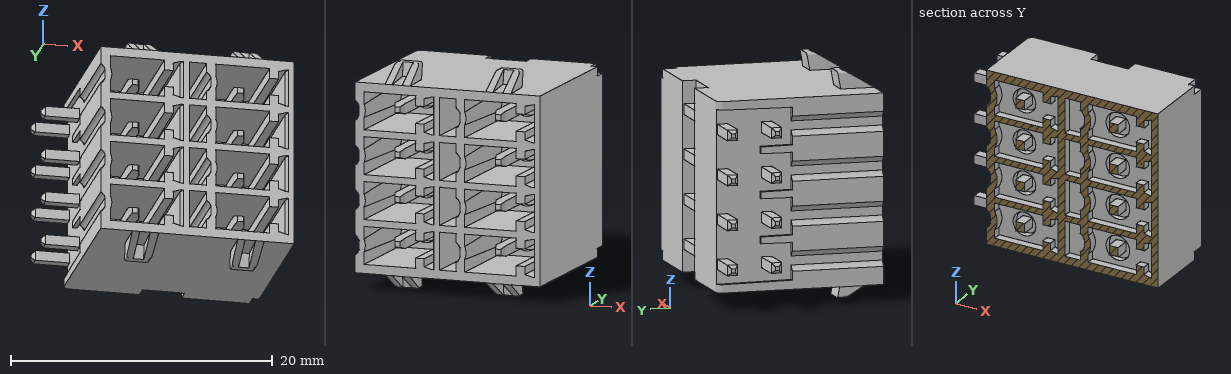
import cadquery as cq


body_width = 15.17
body_depth = 13.3
row_count = 4
row_pitch = 3.5
column_count = 2
column_pitch = 8.25
body_height = 14.9
height_over_latches = 17.6
cavity_height = 2.96
end_wall = (body_height - (row_count - 1) * row_pitch - cavity_height) / 2
row_heights = [(row - (row_count - 1) / 2) * row_pitch for row in range(row_count)]
column_starts = [column * column_pitch for column in range(column_count)]
overlap = 1.0

cavity_depth = 7.3
cavity_left = 0.76
rib_left = 4.98
rib_right = 5.69
tail_slope_end = 6.30
cavity_right = 6.47
lead_in_depth = 0.5
rib_gap_half = 0.68
tail_start_half = 1.3
cavity_half = cavity_height / 2

swelling_chord_half = 0.8
swelling_rise_back = 0.24
swelling_rise_front = 0.10

pin_recess_mouth_radii = [1.0, 1.04]
pin_recess_floor_radii = [0.95, 1.04]
pin_recess_depth = 0.5

pocket_left = 6.95
pocket_right = 8.29

groove_depth = 0.34
groove_mouth_half = 0.78
groove_flat_half = 0.35

side_recess_depth = groove_depth
side_recess_half_front = 6.72
side_recess_half_back = 6.79
rear_corner_radius = 0.5
side_rib_end = 9.8
side_rib_half_front = 0.29
side_rib_half_back = 0.26

rear_notch_left = 6.03
rear_notch_right = 9.30
rear_notch_depth = 1.08
rear_corner_notch_width = 0.52

pin_size = 0.82
arm_tip_size = 0.44
arm_tip_length = 0.6
leg_tip_size = 0.32
leg_tip_length = 0.28
pin_from_column_left = 2.99
pin_front = 1.3
pin_left = -2.63
first_leg_depth = 9.28
leg_pitch = 3.5
pin_leg_depths = [first_leg_depth + column * leg_pitch for column in range(column_count)]

latch_left = 2.48
latch_right = 4.55
latch_back_left = 2.52
latch_back_right = 4.41
latch_height = (height_over_latches - body_height) / 2
latch_back_foot = 2.70
latch_back_top = 2.95
latch_front_top = 2.27
latch_edge_radius = 0.2
latch_slot_left = 3.06
latch_slot_right = 3.88
latch_slot_floor_rise = 0.24
latch_slot_floor_end = 2.17
latch_slot_top_end = 2.36


def box(x_min, x_max, y_min, y_max, z_min, z_max):
    size = (x_max - x_min, y_max - y_min, z_max - z_min)
    return cq.Workplane("XY").box(*size, centered=False).translate((x_min, y_min, z_min))


def extruded_back(points, depth):
    """Extrude an XZ outline from the mating face toward the rear."""
    return cq.Workplane("XZ").polyline(points).close().extrude(-depth)


def cone_back(x, z, y, length, front_radius, back_radius):
    """A cone with its axis along Y, running back from depth y."""
    cone = cq.Solid.makeCone(
        front_radius, back_radius, length, pnt=cq.Vector(x, y, z), dir=cq.Vector(0, 1, 0)
    )
    return cq.Workplane(obj=cone)


def cylinder_back(x, z, y, length, radius):
    cylinder = cq.Solid.makeCylinder(radius, length, cq.Vector(x, y, z), cq.Vector(0, 1, 0))
    return cq.Workplane(obj=cylinder)


def cavity(x, z):
    """A plug cavity with a pair of ribs facing each other near its right end."""
    half_outline = [
        (cavity_left, cavity_half),
        (rib_left, cavity_half),
        (rib_left, rib_gap_half),
        (rib_right, rib_gap_half),
        (rib_right, tail_start_half),
        (tail_slope_end, cavity_half),
        (cavity_right, cavity_half),
    ]
    outline = half_outline + [(px, -pz) for px, pz in reversed(half_outline)]
    shape = extruded_back(outline, cavity_depth)

    lead_in = (
        cq.Workplane("XY")
        .polyline(
            [
                (cavity_right, 0),
                (cavity_right, cavity_depth),
                (tail_slope_end, cavity_depth),
                (tail_slope_end, lead_in_depth),
            ]
        )
        .close()
        .extrude(cavity_half, both=True)
    )

    rise = swelling_rise_back
    back_radius = (swelling_chord_half**2 + rise**2) / (2 * rise)
    front_radius = back_radius - (rise - swelling_rise_front)
    axis_x = cavity_left + rise - back_radius
    swelling = cone_back(axis_x, 0, 0, cavity_depth, front_radius, back_radius)
    return shape.cut(lead_in).cut(swelling).translate((x, 0, z))


def groove(x, z):
    """A groove with arc flanks and a flat bottom, along Y beside one row."""
    chord_difference = groove_mouth_half**2 - groove_flat_half**2
    axis_offset = (chord_difference - groove_depth**2) / (2 * groove_depth)
    radius = (axis_offset**2 + groove_mouth_half**2) ** 0.5
    round_bar = cylinder_back(-axis_offset, 0, 0, cavity_depth, radius)
    limit = box(-overlap, groove_depth, 0, cavity_depth, -overlap, overlap)
    return round_bar.intersect(limit).translate((x, 0, z))


def pocket(z):
    """An empty pocket between the columns, with a groove in its right wall."""
    shape = box(pocket_left, pocket_right, 0, cavity_depth, z - cavity_half, z + cavity_half)
    return shape.union(groove(pocket_right, z))


def side_slab(y_end, half_front, half_back):
    """A tapered slab on the pin side, from the end of the grooves back to y_end."""
    outline = [
        (cavity_depth, -half_front),
        (y_end, -half_back),
        (y_end, half_back),
        (cavity_depth, half_front),
    ]
    return cq.Workplane("YZ").polyline(outline).close().extrude(side_recess_depth)


def side_recess():
    """The recess around the pin legs, with one rib left standing between each two rows."""
    shape = side_slab(body_depth, side_recess_half_front, side_recess_half_back)
    rib = side_slab(side_rib_end, side_rib_half_front, side_rib_half_back)
    for lower_row in row_heights[:-1]:
        shape = shape.cut(rib.translate((0, 0, lower_row + row_pitch / 2)))
    return shape


def pin_recess(x, z, mouth_radius, floor_radius):
    """A shallow round recess in the floor of a cavity."""
    if floor_radius == mouth_radius:
        return cylinder_back(x, z, cavity_depth, pin_recess_depth, mouth_radius)
    return cone_back(x, z, cavity_depth, pin_recess_depth, mouth_radius, floor_radius)


def housing():
    half = body_height / 2
    body = box(0, body_width, 0, body_depth, -half, half)
    body = body.edges("|Z and <X and >Y").fillet(rear_corner_radius)
    body = body.cut(side_recess())

    notch_front = body_depth - rear_notch_depth
    body = body.cut(box(rear_notch_left, rear_notch_right, notch_front, body_depth, -half, half))

    corner_left = body_width - rear_corner_notch_width
    for z_min in (-half, half - end_wall):
        body = body.cut(box(corner_left, body_width, notch_front, body_depth, z_min, z_min + end_wall))

    for z in row_heights:
        body = body.cut(groove(0, z)).cut(pocket(z))
        for x, mouth_radius, floor_radius in zip(
            column_starts, pin_recess_mouth_radii, pin_recess_floor_radii
        ):
            recess = pin_recess(x + pin_from_column_left, z, mouth_radius, floor_radius)
            body = body.cut(cavity(x, z)).cut(recess)
    return body


def pin_bar(length, tip_size, tip_length):
    """A square bar along +Z whose lower end is a blunt pyramid tip at the origin."""
    tip = (
        cq.Workplane("XY")
        .rect(tip_size, tip_size)
        .workplane(offset=tip_length)
        .rect(pin_size, pin_size)
        .loft(ruled=True)
    )
    shank = cq.Workplane("XY").workplane(offset=tip_length).rect(pin_size, pin_size)
    return tip.union(shank.extrude(length - tip_length))


def pin(x, leg_depth, z):
    """A right-angle pin: one arm points to the mating face, the other leaves toward -X."""
    arm = pin_bar(leg_depth + pin_size / 2 - pin_front, arm_tip_size, arm_tip_length)
    arm = arm.rotate((0, 0, 0), (1, 0, 0), -90).translate((x, pin_front, z))
    leg = pin_bar(x + pin_size / 2 - pin_left, leg_tip_size, leg_tip_length)
    leg = leg.rotate((0, 0, 0), (0, 1, 0), 90).translate((pin_left, leg_depth, z))
    return arm.union(leg)


def latch():
    """A hollow wedge-shaped latch standing on the top face."""
    foot = -overlap / 2
    wedge = (
        cq.Workplane("YZ")
        .polyline(
            [
                (0, foot),
                (0, 0),
                (latch_front_top, latch_height),
                (latch_back_top, latch_height),
                (latch_back_foot, 0),
                (latch_back_foot, foot),
            ]
        )
        .close()
        .extrude(body_width)
    )
    plan = (
        cq.Workplane("XY")
        .workplane(offset=foot)
        .polyline(
            [
                (latch_left, 0),
                (latch_right, 0),
                (latch_back_right, latch_back_top),
                (latch_back_left, latch_back_top),
            ]
        )
        .close()
        .extrude(latch_height - foot)
    )
    slot = (
        cq.Workplane("YZ")
        .polyline(
            [
                (0, 0),
                (latch_slot_floor_end, latch_slot_floor_rise),
                (latch_slot_top_end, latch_height),
                (0, latch_height),
            ]
        )
        .close()
        .extrude(latch_slot_right - latch_slot_left)
        .translate((latch_slot_left, 0, 0))
    )
    body = wedge.intersect(plan)
    body = body.faces(">Z").edges("not >Y").fillet(latch_edge_radius)
    return body.cut(slot)


def connector():
    part = housing()
    for x in column_starts:
        upper_latch = latch().translate((x, 0, body_height / 2))
        part = part.union(upper_latch).union(upper_latch.mirror("XY"))
    for z in row_heights:
        for x, leg_depth in zip(column_starts, pin_leg_depths):
            part = part.union(pin(x + pin_from_column_left, leg_depth, z))
    return part


result = connector()